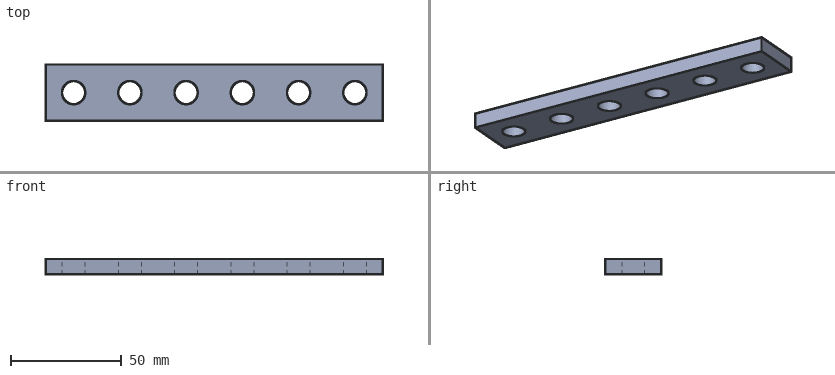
import cadquery as cq

length = 152.4
width = 25.5
thickness = 7.0

hole_count = 6
hole_diameter = 10.4
hole_pitch = length / hole_count

bar = cq.Workplane("XY").box(length, width, thickness)

result = (
    bar.faces(">Z")
    .workplane()
    .rarray(hole_pitch, width, hole_count, 1)
    .hole(hole_diameter)
)